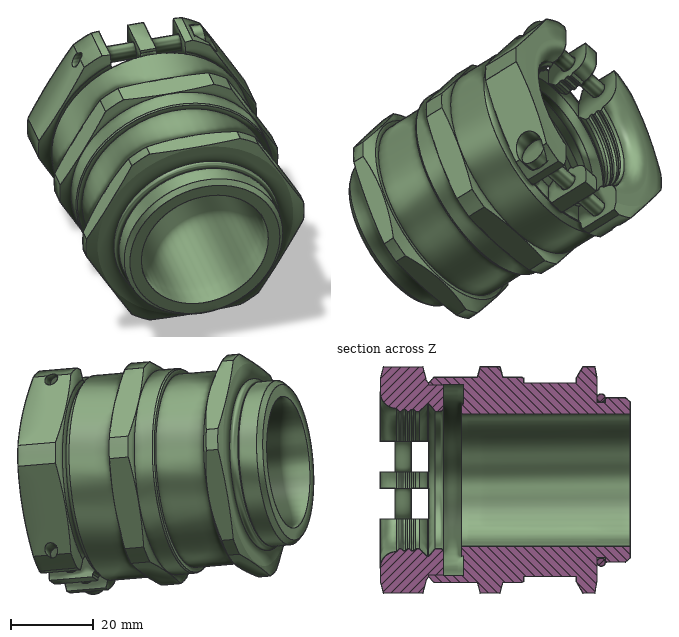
import cadquery as cq
import math


across_flats = 50.0
across_corners = 54.95
hex_face_diameter = 49.3
slim_chamfer_angle = 15
steep_chamfer_angle = 30
slight_chamfer_angle = 10

nut_hex_length = 11.15
nut_head_length = 11.75
collar_diameter = 48.7
body_face_diameter = 47.0
nut_end = 15.4
barrel_diameter = 46.25
mouth_diameter = 42.6
mouth_radius = 4.0
throat_diameter = mouth_diameter - 2 * mouth_radius
relief_diameter = 37.0
lip_diameter = 33.2
lip_start = 13.35
lip_rounding = 0.9
tooth_count = 3
tooth_pitch = 2.0
tooth_crest_length = 0.5
last_crest_length = 0.9
tooth_flank_length = 0.6
tooth_depth = 0.5
jaw_gap = 18.8
tongue_width = 4.0

screw_x = nut_hex_length / 2
screw_z = 21.35
screw_diameter = 4.0
screw_length = 24.95
head_diameter = 7.0
head_height = 2.6
head_seat_y = 12.55
screw_tip_y = head_seat_y - screw_length
counterbore_diameter = 7.5
clearance_diameter = 4.3
core_diameter = 3.2

sleeve_diameter = 49.8
sleeve_chamfer_end = 13.0
sleeve_end = 34.8
sleeve_end_chamfer_length = 0.4
sleeve_end_chamfer_height = 0.25
sleeve_hex_start = 23.45
sleeve_hex_end = 29.8
shank_diameter = 47.0
seat_x = 19.7
seat_diameter = 37.0
seat_height = 0.5
bore_diameter = 32.0
flange_start = 47.45
flange_end = 52.55
total_length = 60.6
thread_diameter = 40.0
thread_root_diameter = 37.8
thread_lead_in = 0.3
thread_end_chamfer = 1.2

ring_cord = 2.0


def turned(points):
    """Solid of revolution about X from a closed outline of (x, radius) points."""
    return cq.Workplane("XY").polyline(points).close().revolve(360, (0, 0, 0), (1, 0, 0))


def cylinder_along_y(diameter, x, z, y_start, y_end):
    """Round bar from y_start to y_end with its axis at (x, z)."""
    axis = cq.Vector(0, math.copysign(1, y_end - y_start), 0)
    length = abs(y_end - y_start)
    return cq.Workplane(cq.Solid.makeCylinder(diameter / 2, length, cq.Vector(x, y_start, z), axis))


def hexagon(start, end, start_angle, end_angle):
    """Hexagon with corners toward +Y and -Y, its corners rounded and chamfered at both ends."""
    prism = (
        cq.Workplane("YZ", origin=(start, 0, 0))
        .polygon(6, across_flats / math.cos(math.radians(30)))
        .extrude(end - start)
    )
    face_radius = hex_face_diameter / 2
    corner_radius = across_corners / 2
    chamfer_height = corner_radius - face_radius
    start_chamfer = chamfer_height * math.tan(math.radians(start_angle))
    end_chamfer = chamfer_height * math.tan(math.radians(end_angle))
    envelope = turned([
        (start, 0),
        (start, face_radius),
        (start + start_chamfer, corner_radius),
        (end - end_chamfer, corner_radius),
        (end, face_radius),
        (end, 0),
    ])
    return prism.intersect(envelope)


def nut_passage():
    """Flared mouth, toothed throat and pressing lip of the clamp nut."""
    throat_radius = throat_diameter / 2
    lip_radius = lip_diameter / 2
    mouth_edge = mouth_diameter / 2
    arc_offset = mouth_radius * math.sqrt(0.5)
    outline = (
        cq.Workplane("XY")
        .moveTo(0, 0)
        .lineTo(0, mouth_edge)
        .threePointArc(
            (mouth_radius - arc_offset, mouth_edge - arc_offset),
            (mouth_radius, throat_radius),
        )
    )
    for tooth in range(tooth_count):
        crest_start = mouth_radius + tooth_flank_length + tooth * tooth_pitch
        outline = outline.lineTo(crest_start, lip_radius)
        if tooth < tooth_count - 1:
            crest_end = crest_start + tooth_crest_length
            next_crest_start = crest_start + tooth_pitch
            root_radius = lip_radius + tooth_depth
            outline = (
                outline.lineTo(crest_end, lip_radius)
                .lineTo(crest_end + tooth_depth, root_radius)
                .lineTo(next_crest_start - tooth_depth, root_radius)
            )
    last_crest_end = crest_start + last_crest_length
    relief_radius = relief_diameter / 2
    return (
        outline.lineTo(last_crest_end, lip_radius)
        .lineTo(last_crest_end + relief_radius - lip_radius, relief_radius)
        .lineTo(nut_head_length, relief_radius)
        .lineTo(lip_start, lip_radius)
        .lineTo(nut_end - lip_rounding, lip_radius)
        .radiusArc((nut_end, lip_radius + lip_rounding), -lip_rounding)
        .lineTo(nut_end, 0)
        .close()
        .revolve(360, (0, 0, 0), (1, 0, 0))
    )


def jaw_slots():
    """Openings on both sides of the upper and lower tongues."""
    slot_width = (jaw_gap - tongue_width) / 2
    slot_y = (jaw_gap + tongue_width) / 4
    return (
        cq.Workplane("XY")
        .pushPoints([(nut_head_length / 2, -slot_y), (nut_head_length / 2, slot_y)])
        .box(nut_head_length, slot_width, across_corners)
    )


def screw_hole(z):
    """Counterbored clearance hole, continued as a tapped hole through the opposite jaw."""
    outside = across_corners / 2
    clearance = cylinder_along_y(clearance_diameter, screw_x, z, head_seat_y, -jaw_gap / 2)
    counterbore = cylinder_along_y(counterbore_diameter, screw_x, z, head_seat_y, outside)
    threaded = cylinder_along_y(screw_diameter, screw_x, z, 0, screw_tip_y)
    core = cylinder_along_y(core_diameter, screw_x, z, 0, -outside)
    return clearance.union(counterbore).union(threaded).union(core)


def make_clamp_nut():
    """Hexagon head split into jaws and tongues, carried by the barrel that enters the body."""
    collar_and_barrel = turned([
        (0, 0),
        (0, body_face_diameter / 2),
        (nut_hex_length, collar_diameter / 2),
        (nut_head_length, body_face_diameter / 2),
        (nut_head_length, barrel_diameter / 2),
        (nut_end, barrel_diameter / 2),
        (nut_end, 0),
    ])
    nut = hexagon(0, nut_hex_length, slim_chamfer_angle, slim_chamfer_angle)
    nut = nut.union(collar_and_barrel).cut(jaw_slots()).cut(nut_passage())
    for z in (-screw_z, screw_z):
        nut = nut.cut(screw_hole(z))
    return nut


def make_screw(z):
    """Cheese-head screw that draws the two jaws together."""
    head = cylinder_along_y(head_diameter, screw_x, z, head_seat_y, head_seat_y + head_height)
    shank = cylinder_along_y(screw_diameter, screw_x, z, head_seat_y, screw_tip_y)
    return head.union(shank)


def make_gland_body():
    """Sleeve and shank with two hexagons, ring groove and connection thread."""
    groove_end = flange_end + ring_cord
    thread_radius = thread_diameter / 2
    root_radius = thread_root_diameter / 2
    sleeve_radius = sleeve_diameter / 2
    body = turned([
        (nut_head_length, 0),
        (nut_head_length, body_face_diameter / 2),
        (sleeve_chamfer_end, sleeve_radius),
        (sleeve_end - sleeve_end_chamfer_length, sleeve_radius),
        (sleeve_end, sleeve_radius - sleeve_end_chamfer_height),
        (sleeve_end, shank_diameter / 2),
        (flange_end, shank_diameter / 2),
        (flange_end, root_radius),
        (groove_end, root_radius),
        (groove_end, thread_radius - thread_lead_in),
        (groove_end + thread_lead_in, thread_radius),
        (total_length - thread_end_chamfer, thread_radius),
        (total_length, root_radius),
        (total_length, 0),
    ])
    sleeve_hex = hexagon(sleeve_hex_start, sleeve_hex_end, slim_chamfer_angle, slim_chamfer_angle)
    flange = hexagon(flange_start, flange_end, steep_chamfer_angle, slight_chamfer_angle)
    bore = turned([
        (nut_head_length, 0),
        (nut_head_length, barrel_diameter / 2),
        (seat_x + seat_height, barrel_diameter / 2),
        (seat_x + seat_height, seat_diameter / 2),
        (seat_x, seat_diameter / 2),
        (seat_x, bore_diameter / 2),
        (total_length, bore_diameter / 2),
        (total_length, 0),
    ])
    return body.union(sleeve_hex).union(flange).cut(bore)


def make_sealing_ring():
    """Round-cord ring filling the groove behind the flange."""
    cord_radius = ring_cord / 2
    center = cq.Vector(flange_end + cord_radius, 0, 0)
    ring_radius = thread_root_diameter / 2 + cord_radius
    return cq.Solid.makeTorus(ring_radius, cord_radius, center, cq.Vector(1, 0, 0))


clamp_nut = make_clamp_nut()
screws = [make_screw(z) for z in (-screw_z, screw_z)]
gland_body = make_gland_body()
sealing_ring = make_sealing_ring()

result = cq.Compound.makeCompound([
    clamp_nut.val(),
    *[screw.val() for screw in screws],
    gland_body.val(),
    sealing_ring,
])